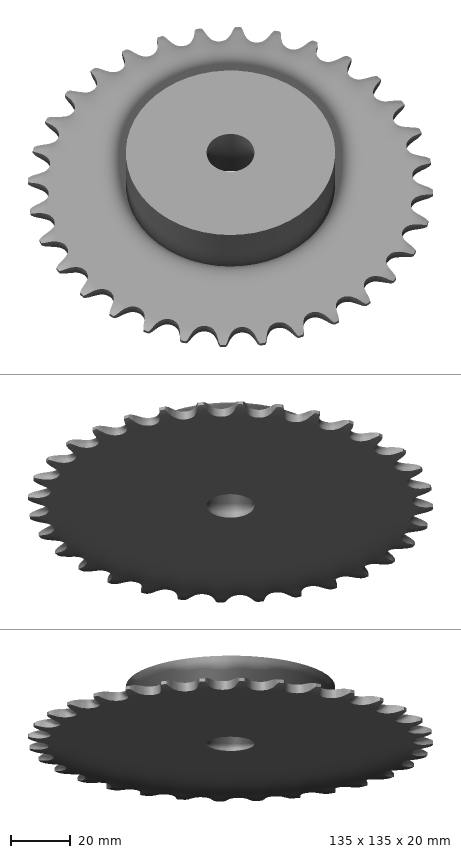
import cadquery as cq
import math

TOOTH_COUNT = 32
CHAIN_PITCH = 12.7
ROLLER_DIAMETER = 7.75
TOOTH_STEP = 360 / TOOTH_COUNT
PITCH_RADIUS = CHAIN_PITCH / (2 * math.sin(math.pi / TOOTH_COUNT))

SEAT_CLEARANCE = 0.038
SEAT_RADIUS = 0.50025 * ROLLER_DIAMETER + SEAT_CLEARANCE
SEAT_ANGLE = math.radians(35 + 60 / TOOTH_COUNT)
WORKING_OFFSET = 0.8 * ROLLER_DIAMETER
WORKING_RADIUS = 1.3025 * ROLLER_DIAMETER + SEAT_CLEARANCE
WORKING_ANGLE = math.radians(18 - 56 / TOOTH_COUNT)
TOPPING_OFFSET = 1.4 * ROLLER_DIAMETER
TOPPING_ANGLE = math.radians(17 - 64 / TOOTH_COUNT)
TOPPING_RADIUS = (
    WORKING_OFFSET * math.cos(WORKING_ANGLE) + TOPPING_OFFSET * math.cos(TOPPING_ANGLE) - WORKING_RADIUS
)
STRAIGHT_LENGTH = TOPPING_OFFSET * math.sin(TOPPING_ANGLE) - WORKING_OFFSET * math.sin(WORKING_ANGLE)

TIP_RADIUS = 135.5 / 2
PLATE_THICKNESS = 3.0
RELIEF_START_RADIUS = 62.7
RELIEF_ARC_RADIUS = 14.0

HUB_DIAMETER = 70.0
BORE_DIAMETER = 16.0
TOTAL_HEIGHT = 20.0


def normal_at(angle):
    """Direction from the gap into the tooth on its +Y flank, tilted inward by the angle."""
    return cq.Vector(-math.sin(angle), math.cos(angle), 0)


def mirrored(point):
    """Matching point on the -Y flank of a gap centred on +X."""
    return cq.Vector(point.x, -point.y, 0)


def tooth_gap():
    """Space between two teeth, centred on +X and open past the tooth tips."""
    roller_centre = cq.Vector(PITCH_RADIUS, 0, 0)
    seat_bottom = roller_centre - cq.Vector(SEAT_RADIUS, 0, 0)
    seat_end = roller_centre + normal_at(SEAT_ANGLE) * SEAT_RADIUS

    flank_angle = SEAT_ANGLE - WORKING_ANGLE
    working_centre = seat_end - normal_at(SEAT_ANGLE) * WORKING_RADIUS
    working_middle = working_centre + normal_at(SEAT_ANGLE - WORKING_ANGLE / 2) * WORKING_RADIUS
    working_end = working_centre + normal_at(flank_angle) * WORKING_RADIUS
    along_flank = cq.Vector(math.cos(flank_angle), math.sin(flank_angle), 0)
    straight_end = working_end + along_flank * STRAIGHT_LENGTH

    topping_centre = straight_end + normal_at(flank_angle) * TOPPING_RADIUS
    end_angle = math.pi / 2
    topping_middle = topping_centre - normal_at((flank_angle + end_angle) / 2) * TOPPING_RADIUS
    topping_end = topping_centre - normal_at(end_angle) * TOPPING_RADIUS

    return (
        cq.Workplane("XY")
        .moveTo(topping_end.x, -topping_end.y)
        .threePointArc(mirrored(topping_middle), mirrored(straight_end))
        .lineTo(working_end.x, -working_end.y)
        .threePointArc(mirrored(working_middle), mirrored(seat_end))
        .threePointArc(seat_bottom, seat_end)
        .threePointArc(working_middle, working_end)
        .lineTo(straight_end.x, straight_end.y)
        .threePointArc(topping_middle, topping_end)
        .close()
        .extrude(PLATE_THICKNESS)
    )


def relieved_blank():
    """Turned disc, full thickness inside and thinned by an arc toward the rim on both faces."""

    def relief_depth(radius):
        return RELIEF_ARC_RADIUS - math.sqrt(RELIEF_ARC_RADIUS**2 - (radius - RELIEF_START_RADIUS) ** 2)

    middle_radius = (RELIEF_START_RADIUS + TIP_RADIUS) / 2
    middle_depth = relief_depth(middle_radius)
    tip_depth = relief_depth(TIP_RADIUS)
    return (
        cq.Workplane("XZ")
        .lineTo(RELIEF_START_RADIUS, 0)
        .threePointArc((middle_radius, middle_depth), (TIP_RADIUS, tip_depth))
        .lineTo(TIP_RADIUS, PLATE_THICKNESS - tip_depth)
        .threePointArc(
            (middle_radius, PLATE_THICKNESS - middle_depth),
            (RELIEF_START_RADIUS, PLATE_THICKNESS),
        )
        .lineTo(0, PLATE_THICKNESS)
        .close()
        .revolve(360, (0, 0, 0), (0, 1, 0))
    )


def toothed_plate():
    """Relieved blank with every tooth gap cut through it."""
    plate = relieved_blank()
    gap = tooth_gap()
    for index in range(TOOTH_COUNT):
        plate = plate.cut(gap.rotate((0, 0, 0), (0, 0, 1), index * TOOTH_STEP))
    return plate


hub = cq.Workplane("XY").circle(HUB_DIAMETER / 2).extrude(TOTAL_HEIGHT)
bore = cq.Workplane("XY").circle(BORE_DIAMETER / 2).extrude(TOTAL_HEIGHT)
result = toothed_plate().union(hub).cut(bore)